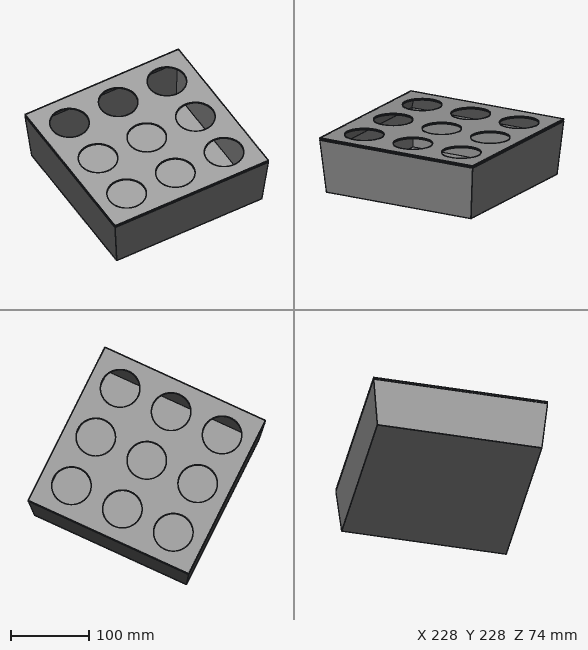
import cadquery as cq
import math

width = 228.0
total_height = 74.0

lid_width = 227.8
lid_thickness = 3.0
lid_top_chamfer = 0.35
lid_bottom_chamfer = 1.5

hole_diameter = 50.0
hole_rim_chamfer = 0.6
holes_per_side = 3
grid_margin = 5.7
hole_pitch = (width - 2 * grid_margin) / holes_per_side

tray_height = total_height - lid_thickness
tray_chamfer = 0.5
wall = 2.0
floor_thickness = 2.0
draft_angle = math.radians(5)

ledge_height = 18.2
ledge_angle = math.radians(25)
ledge_bottom_z = tray_height - ledge_height

widest_z = tray_height - tray_chamfer * math.cos(draft_angle)


def outer_width(z):
    """Outside width of the drafted tray wall at height z."""
    return width + 2 * (z - widest_z) * math.tan(draft_angle)


def inner_width(z):
    """Width between the drafted inner wall faces at height z."""
    return outer_width(z) - 2 * wall


def square_frustum(bottom_z, bottom_width, top_z, top_width):
    return (
        cq.Workplane("XY", origin=(0, 0, bottom_z))
        .rect(bottom_width, bottom_width)
        .workplane(offset=top_z - bottom_z)
        .rect(top_width, top_width)
        .loft(ruled=True)
    )


def make_tray():
    shell = square_frustum(0, outer_width(0), tray_height, outer_width(tray_height))
    shell = shell.edges().chamfer(tray_chamfer)

    ledge_bottom_width = inner_width(ledge_bottom_z)
    mouth_width = ledge_bottom_width - 2 * ledge_height * math.tan(ledge_angle)
    lower_cavity = square_frustum(
        floor_thickness, inner_width(floor_thickness), ledge_bottom_z, ledge_bottom_width
    )
    upper_cavity = square_frustum(ledge_bottom_z, ledge_bottom_width, tray_height, mouth_width)
    return shell.cut(lower_cavity).cut(upper_cavity)


def make_lid():
    base = cq.Workplane("XY", origin=(0, 0, tray_height))
    plate = base.rect(lid_width, lid_width).extrude(lid_thickness)
    plate = plate.faces(">Z").edges().chamfer(lid_top_chamfer)

    holes = (
        base.rarray(hole_pitch, hole_pitch, holes_per_side, holes_per_side)
        .circle(hole_diameter / 2)
        .extrude(lid_thickness)
    )
    plate = plate.cut(holes)

    plate = plate.faces(">Z").edges("%CIRCLE").chamfer(hole_rim_chamfer)
    return plate.faces("<Z").edges().chamfer(lid_bottom_chamfer)


tray = make_tray()
lid = make_lid()

result = cq.Compound.makeCompound([tray.val(), lid.val()])